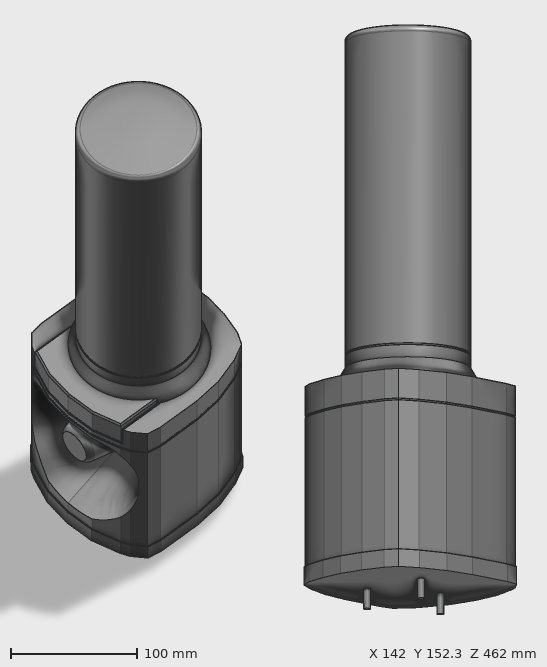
import cadquery as cq
import math


flange_width = 142.0
flange_step = 1.0
flange_height = 14.5
housing_height = 160.0
seam_height = 135.5
flange_half_outline = [
    (0, 76.0),
    (21.3, 74.0),
    (41.5, 69.5),
    (52.5, 64.0),
    (60.5, 48.5),
    (68.0, 25.0),
    (flange_width / 2, -1.0),
    (flange_width / 2, -40.0),
    (69.0, -52.5),
    (58.2, -62.0),
    (51.0, -65.5),
    (26.0, -74.0),
    (0, -76.3),
]

groove_width = 1.5
groove_depth = 1.0

panel_half_width = 50.5
panel_top = 165.0
panel_bottom = 143.0
panel_edge_chamfer = 1.5
panel_cut_y = -78.5

column_root = panel_bottom
column_radius = 50.0
flare_bottom_radius = 57.5
flare_top = 175.5
flare_bulge = 1.0
column_joint_height = 186.3
column_edge_height = 444.0
column_edge_inset = 3.5
column_edge_drop = 5.5
column_apex_height = 445.5

recess_axis_height = 92.5
recess_floor_y = 0
recess_floor_radius = 30.5
recess_floor_angles = (90, 50, 25, 0, -45, -90)
recess_mouth_y = -78.5
recess_mouth_top = 132.5
recess_mouth_top_half = 39.7
recess_mouth_crown = 0.5
recess_mouth_corner = (65.0, 121.5)
recess_mouth_half_width = 75.0
recess_mouth_side_height = 94.8
recess_mouth_lower = (55.5, 39.7)
recess_mouth_bottom = 23.5
boss_shoulder_y = -63.0
boss_shoulder_radius = 17.5
boss_tip_y = -68.5
boss_round = 3.5
boss_root_overlap = 1.0

pin_count = 3
pin_radius = 3.0
pin_circle_radius = 34.5
pin_circle_y = -2.0
front_pin_length = 16.5
rear_pin_length = 15.5


def housing_prism(inset, bottom, top):
    """Prism of the flange outline moved inwards by inset."""
    left_half = [(-x, y) for x, y in reversed(flange_half_outline[1:-1])]
    outline = cq.Workplane("XY", origin=(0, 0, bottom)).polyline(flange_half_outline + left_half).close()
    if inset > 0:
        outline = outline.offset2D(-inset, "intersection")
    return outline.extrude(top - bottom)


def make_housing():
    flange = housing_prism(0, 0, flange_height)
    body = housing_prism(flange_step, 0, housing_height)
    seam_bottom = seam_height - groove_width / 2
    seam_top = seam_height + groove_width / 2
    seam = housing_prism(0, seam_bottom, seam_top)
    seam = seam.cut(housing_prism(flange_step + groove_depth, seam_bottom, seam_top))
    return flange.union(body).cut(seam)


def panel_block(margin):
    """Block over the panel, widened sideways and downwards by margin."""
    front = abs(panel_cut_y)
    bottom = panel_bottom - margin
    width = 2 * (panel_half_width + margin)
    block = cq.Workplane("XY").box(width, front, panel_top - bottom, centered=(True, False, False))
    return block.translate((0, -front, bottom))


def add_panel(housing):
    frame = panel_block(groove_width).cut(panel_block(0))
    frame = frame.cut(housing_prism(flange_step + groove_depth, 0, housing_height - groove_depth))
    panel = panel_block(0).intersect(housing_prism(flange_step, 0, panel_top))
    panel = panel.faces(">Z").edges().chamfer(panel_edge_chamfer)
    return housing.cut(frame).union(panel)


def make_column():
    flare_mid = (
        (flare_bottom_radius + column_radius) / 2 + flare_bulge,
        (housing_height + flare_top) / 2,
    )
    edge_start = (column_radius, column_edge_height - column_edge_drop)
    edge_end = (column_radius - column_edge_inset, column_edge_height)
    edge_mid = (
        edge_end[0] + column_edge_inset * math.sqrt(0.5),
        edge_start[1] + column_edge_drop * math.sqrt(0.5),
    )
    joint_bottom = column_joint_height - groove_width / 2
    joint_top = column_joint_height + groove_width / 2
    return (
        cq.Workplane("XZ")
        .moveTo(0, column_root)
        .lineTo(flare_bottom_radius, column_root)
        .lineTo(flare_bottom_radius, housing_height)
        .threePointArc(flare_mid, (column_radius, flare_top))
        .lineTo(column_radius, joint_bottom)
        .lineTo(column_radius - groove_depth, joint_bottom)
        .lineTo(column_radius - groove_depth, joint_top)
        .lineTo(column_radius, joint_top)
        .lineTo(*edge_start)
        .threePointArc(edge_mid, edge_end)
        .lineTo(0, column_apex_height)
        .close()
        .revolve(360, (0, 0), (0, 1))
    )


def recess_floor_point(angle):
    """Point of the floor circle at an angle in degrees above the horizontal."""
    turn = math.radians(angle)
    return (
        recess_floor_radius * math.cos(turn),
        recess_axis_height + recess_floor_radius * math.sin(turn),
    )


def recess_ring(y, top_mid, top_end, corner, side, lower, bottom):
    """Closed wire at depth y from five arcs, symmetric about x = 0."""

    def at(point, sign=1):
        return cq.Vector(sign * point[0], y, point[1])

    return cq.Wire.assembleEdges(
        [
            cq.Edge.makeThreePointArc(at(top_end, -1), at(top_mid), at(top_end)),
            cq.Edge.makeThreePointArc(at(top_end), at(corner), at(side)),
            cq.Edge.makeThreePointArc(at(side), at(lower), at(bottom)),
            cq.Edge.makeThreePointArc(at(bottom), at(lower, -1), at(side, -1)),
            cq.Edge.makeThreePointArc(at(side, -1), at(corner, -1), at(top_end, -1)),
        ]
    )


def make_recess():
    mouth = recess_ring(
        recess_mouth_y,
        (0, recess_mouth_top),
        (recess_mouth_top_half, recess_mouth_top - recess_mouth_crown),
        recess_mouth_corner,
        (recess_mouth_half_width, recess_mouth_side_height),
        recess_mouth_lower,
        (0, recess_mouth_bottom),
    )
    floor = recess_ring(recess_floor_y, *[recess_floor_point(angle) for angle in recess_floor_angles])
    return cq.Workplane(cq.Solid.makeLoft([floor, mouth], True))


def make_boss():
    tip_radius = boss_shoulder_radius - boss_round
    return (
        cq.Workplane("XY")
        .moveTo(0, recess_floor_y + boss_root_overlap)
        .lineTo(recess_floor_radius, recess_floor_y + boss_root_overlap)
        .lineTo(recess_floor_radius, recess_floor_y)
        .lineTo(boss_shoulder_radius, boss_shoulder_y)
        .tangentArcPoint((tip_radius, boss_tip_y), relative=False)
        .lineTo(0, boss_tip_y)
        .close()
        .revolve(360, (0, 0), (0, 1))
        .translate((0, 0, recess_axis_height))
    )


def make_pins():
    pins = cq.Workplane("XY")
    for index in range(pin_count):
        turn = 2 * math.pi * index / pin_count
        x = pin_circle_radius * math.sin(turn)
        y = pin_circle_y - pin_circle_radius * math.cos(turn)
        length = front_pin_length if index == 0 else rear_pin_length
        pin = cq.Workplane("XY", origin=(x, y, -length)).circle(pin_radius).extrude(length + flange_height)
        pins = pins.add(pin)
    return pins.combine()


result = add_panel(make_housing())
result = result.union(make_column())
result = result.cut(make_recess()).union(make_boss()).union(make_pins())